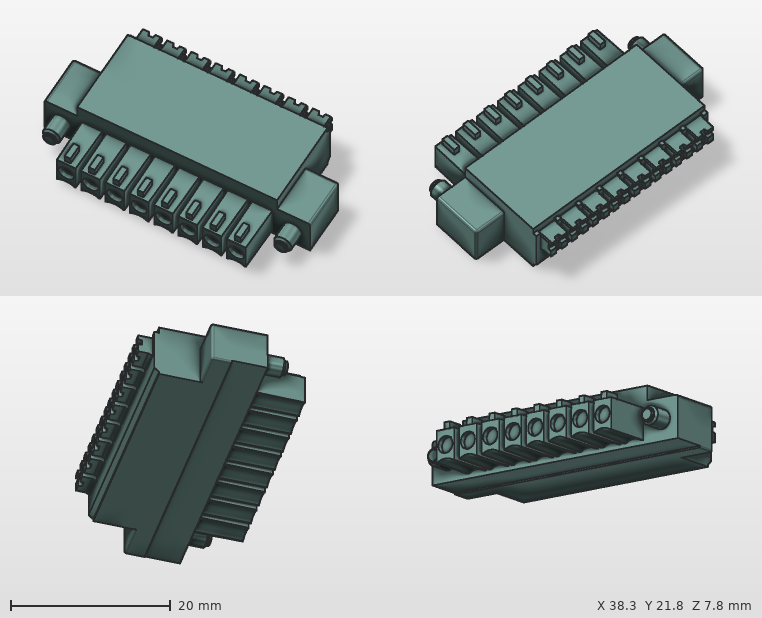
import cadquery as cq

POLE_COUNT = 8
POLE_PITCH = 3.5
POLE_XS = [(i - (POLE_COUNT - 1) / 2) * POLE_PITCH for i in range(POLE_COUNT)]
AXIS_Z = 3.03

BODY_WIDTH = 28.8
BODY_TOP = 7.8
BODY_REAR = 13.35
STEP_Y = 12.75
SHOULDER_Z = 6.95
REAR_CHAMFER_TOP = 0.9
REAR_CHAMFER_BOTTOM = 0.3
RELIEF_HEIGHT = 0.23
RELIEF_DEPTH = 4.65

FLANGE_WIDTH = 38.3
FLANGE_REAR = 7.35
FLANGE_TOP = 5.9
FLANGE_ROUND = 0.35

TONGUE_ROOT_WIDTH = 2.9
TONGUE_TIP_WIDTH = 2.72
TONGUE_LENGTH = 6.55
TONGUE_BOTTOM = 0.85
TONGUE_TOP = 5.0
PIN_HOLE_DIAMETER = 2.22
PIN_HOLE_DEPTH = 0.75
GROOVE_WIDTH = 2.45
GROOVE_HEIGHT = 0.4

KEY_WIDTH = 0.85
KEY_LENGTH = 2.22
KEY_TIP_GAP = 0.35
KEY_TOP = 6.05

TAB_WIDTH = 2.75
TAB_POCKET_WIDTH = 2.87
TAB_REAR = BODY_REAR + 1.88
TAB_TOP = 6.5
TAB_BOTTOM = 3.83
TAB_FOOT_DROP = 0.25
TAB_FOOT_LENGTH = 0.57
TAB_SIDE_CHAMFER = 0.2
NOTCH_DEPTH = 0.5
NOTCH_MOUTH = 0.92
NOTCH_FLOOR = 0.65
NOTCH_Z = 5.45

SCREW_X = 16.65
SCREW_RADIUS = 1.25
SCREW_SHANK = 2.53
SCREW_NECK_RADIUS = 0.92
SCREW_NECK_START = 2.85
SCREW_TIP_START = 3.1
SCREW_TIP_RADIUS = 0.73
SCREW_LENGTH = 3.2

OVERLAP = 0.4


def box(x_range, y_range, z_range):
    """Axis-aligned box from its (low, high) limits along each axis."""
    (x0, x1), (y0, y1), (z0, z1) = x_range, y_range, z_range
    return cq.Workplane("XY").box(x1 - x0, y1 - y0, z1 - z0, centered=False).translate((x0, y0, z0))


def centered(width, x=0.0):
    return (x - width / 2, x + width / 2)


def make_housing():
    profile = [
        (0, 0),
        (STEP_Y, 0),
        (STEP_Y, REAR_CHAMFER_BOTTOM),
        (BODY_REAR, REAR_CHAMFER_TOP),
        (BODY_REAR, SHOULDER_Z),
        (STEP_Y, SHOULDER_Z),
        (STEP_Y, BODY_TOP),
        (0, BODY_TOP),
    ]
    body = cq.Workplane("YZ").polyline(profile).close().extrude(BODY_WIDTH / 2, both=True)
    flange = box(centered(FLANGE_WIDTH), (0, FLANGE_REAR), (0, FLANGE_TOP))
    flange = flange.edges("|Z and >Y").fillet(FLANGE_ROUND)
    flange = flange.faces(">Z").edges("not <Y").fillet(FLANGE_ROUND)
    flange = flange.faces("<Z").edges("not <Y").fillet(RELIEF_HEIGHT)
    relief = box(centered(FLANGE_WIDTH), (0, RELIEF_DEPTH), (0, RELIEF_HEIGHT))
    return body.union(flange).cut(relief)


def make_tongue():
    half_root = TONGUE_ROOT_WIDTH / 2
    half_tip = TONGUE_TIP_WIDTH / 2
    plan = [
        (-half_root, OVERLAP),
        (-half_root, 0),
        (-half_tip, -TONGUE_LENGTH),
        (half_tip, -TONGUE_LENGTH),
        (half_root, 0),
        (half_root, OVERLAP),
    ]
    tongue = (
        cq.Workplane("XY", origin=(0, 0, TONGUE_BOTTOM))
        .polyline(plan).close().extrude(TONGUE_TOP - TONGUE_BOTTOM)
    )
    tip_plane = cq.Workplane("XZ", origin=(0, -TONGUE_LENGTH, 0))
    groove = (
        tip_plane.moveTo(-GROOVE_WIDTH / 2, TONGUE_BOTTOM)
        .threePointArc((0, TONGUE_BOTTOM + GROOVE_HEIGHT), (GROOVE_WIDTH / 2, TONGUE_BOTTOM))
        .close().extrude(-TONGUE_LENGTH)
    )
    hole = tip_plane.center(0, AXIS_Z).circle(PIN_HOLE_DIAMETER / 2).extrude(-PIN_HOLE_DEPTH)
    key_front = -TONGUE_LENGTH + KEY_TIP_GAP
    key = box(centered(KEY_WIDTH), (key_front, key_front + KEY_LENGTH), (TONGUE_TOP, KEY_TOP))
    return tongue.cut(groove).cut(hole).union(key)


def notch_outline(plane, center):
    """Tapered notch cut into the rear end of a tab, on a plane whose second axis is Y."""
    points = [
        (center - NOTCH_MOUTH / 2, TAB_REAR),
        (center - NOTCH_FLOOR / 2, TAB_REAR - NOTCH_DEPTH),
        (center + NOTCH_FLOOR / 2, TAB_REAR - NOTCH_DEPTH),
        (center + NOTCH_MOUTH / 2, TAB_REAR),
    ]
    return cq.Workplane(plane).polyline(points).close()


def make_tab():
    profile = [
        (STEP_Y, TAB_TOP),
        (TAB_REAR, TAB_TOP),
        (TAB_REAR, TAB_BOTTOM),
        (BODY_REAR + TAB_FOOT_LENGTH, TAB_BOTTOM),
        (BODY_REAR, TAB_BOTTOM - TAB_FOOT_DROP),
        (STEP_Y, TAB_BOTTOM - TAB_FOOT_DROP),
    ]
    tab = cq.Workplane("YZ").polyline(profile).close().extrude(TAB_WIDTH / 2, both=True)
    tab = tab.edges(">Z and >X").chamfer(TAB_SIDE_CHAMFER)
    upright_notch = notch_outline("XY", 0).extrude(TAB_TOP)
    cross_notch = notch_outline("ZY", NOTCH_Z).extrude(TAB_WIDTH, both=True)
    return tab.cut(upright_notch).cut(cross_notch)


def make_screw():
    profile = [
        (0, OVERLAP),
        (SCREW_RADIUS, OVERLAP),
        (SCREW_RADIUS, -SCREW_SHANK),
        (SCREW_NECK_RADIUS, -SCREW_NECK_START),
        (SCREW_NECK_RADIUS, -SCREW_TIP_START),
        (SCREW_TIP_RADIUS, -SCREW_LENGTH),
        (0, -SCREW_LENGTH),
    ]
    screw = cq.Workplane("XY").polyline(profile).close().revolve(360, (0, 0, 0), (0, 1, 0))
    return screw.translate((0, 0, AXIS_Z))


result = make_housing()

for pole_x in POLE_XS:
    pocket = box(centered(TAB_POCKET_WIDTH, pole_x), (STEP_Y, BODY_REAR), (TAB_TOP, SHOULDER_Z))
    result = result.cut(pocket)

tongue = make_tongue()
tab = make_tab()
for pole_x in POLE_XS:
    result = result.union(tongue.translate((pole_x, 0, 0))).union(tab.translate((pole_x, 0, 0)))

screw = make_screw()
for screw_x in (-SCREW_X, SCREW_X):
    result = result.union(screw.translate((screw_x, 0, 0)))